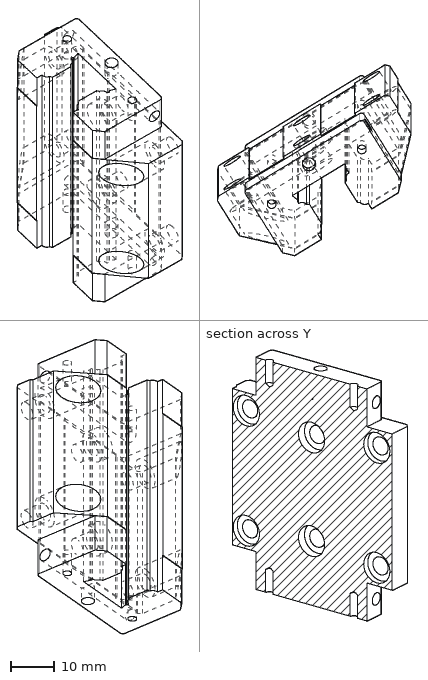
import cadquery as cq
import math


total_length = 58.2
block_length = 39.2
block_width = 47.0
block_height = 19.9

block_edge_chamfer = 0.8
foot_half_width = 14.15
flank_step_depth = 0.45
flank_step_height = 14.95
back_groove_inner = 5.05
back_groove_outer = 14.45
back_groove_depth = 0.4

cap_width = 32.35
cap_front = 0.1
cap_back = 19.25
cap_edge_radius = 0.8

slot_ceiling = 12.45
slot_ceiling_half_width = 7.15
slot_mouth_half_width = 6.85
slot_waist_half_width = 4.85
lip_half_width = 6.65
lip_height = 10.95
track_middle = 5.9
track_half_height = 4.25
bead_inner_half_width = 5.4
bead_half_height = 3.1
bead_bulge = 0.35
waist_half_height = 2.75

bolt_diameter = 4.4
counterbore_diameter = 7.45
flange_bolt_x = 19.0
flange_bolt_z = 15.0
flange_seat = 14.7
center_bolt_z = 13.0
center_seat = 15.5

lube_diameter = 3.0
lube_y = 16.75
lube_z = 24.6
screw_diameter = 2.05
screw_x = 12.3
screw_y = 13.25
screw_depth = 5.8
drill_tip_angle = 118.0

half_length = total_length / 2
half_width = block_width / 2


def extrude_centered(profile, length):
    """Extrude a closed XY profile symmetrically about Z = 0."""
    return profile.extrude(length / 2, both=True)


def cylinder_along(start, direction, diameter, length):
    """Cylinder that begins at a point and runs along a direction."""
    solid = cq.Solid.makeCylinder(diameter / 2, length, cq.Vector(*start), cq.Vector(*direction))
    return cq.Workplane(solid)


def make_block():
    flank_left = half_width - flank_step_depth
    outline = (
        cq.Workplane("XY")
        .moveTo(-foot_half_width, 0)
        .lineTo(foot_half_width, 0)
        .lineTo(half_width, half_width - foot_half_width)
        .lineTo(half_width, block_height - block_edge_chamfer)
        .lineTo(half_width - block_edge_chamfer, block_height)
        .lineTo(-half_width + block_edge_chamfer, block_height)
        .lineTo(-half_width, block_height - block_edge_chamfer)
        .lineTo(-half_width, flank_step_height + flank_step_depth)
        .lineTo(-flank_left, flank_step_height)
        .lineTo(-flank_left, flank_left - foot_half_width)
        .close()
    )
    return extrude_centered(outline, block_length)


def make_back_grooves():
    groove_middle = (back_groove_inner + back_groove_outer) / 2
    grooves = (
        cq.Workplane("XY")
        .pushPoints([(-groove_middle, block_height), (groove_middle, block_height)])
        .rect(back_groove_outer - back_groove_inner, 2 * back_groove_depth)
    )
    return extrude_centered(grooves, block_length)


def make_caps():
    """One full-length bar; its two ends stand out of the block as the end caps."""
    cap_half = cap_width / 2
    flank_rise = cap_half - foot_half_width
    outline = (
        cq.Workplane("XY")
        .moveTo(-foot_half_width, cap_front)
        .lineTo(foot_half_width, cap_front)
        .lineTo(cap_half, cap_front + flank_rise)
        .lineTo(cap_half, cap_back)
        .lineTo(-cap_half, cap_back)
        .lineTo(-cap_half, cap_front + flank_rise)
        .close()
    )
    bar = extrude_centered(outline, total_length)
    return bar.faces(">Y").edges("|Z").fillet(cap_edge_radius)


def make_rail_slot():
    """Slot with beads that follow the ball tracks of the rail."""
    track_low = track_middle - track_half_height
    track_high = track_middle + track_half_height
    bead_run = slot_mouth_half_width - bead_inner_half_width
    bead_rise = track_half_height - bead_half_height
    bead_chord = math.hypot(bead_run, bead_rise)
    chord_mid_x = (slot_mouth_half_width + bead_inner_half_width) / 2
    chord_mid_offset = (track_half_height + bead_half_height) / 2
    bead_mid_x = chord_mid_x - bead_bulge * bead_rise / bead_chord
    bead_mid_offset = chord_mid_offset + bead_bulge * bead_run / bead_chord
    lip_step = slot_mouth_half_width - lip_half_width
    half_slot = (
        cq.Workplane("XY")
        .moveTo(0, 0)
        .lineTo(slot_mouth_half_width, 0)
        .lineTo(slot_mouth_half_width, track_low)
        .threePointArc(
            (bead_mid_x, track_middle - bead_mid_offset),
            (bead_inner_half_width, track_middle - bead_half_height),
        )
        .lineTo(slot_waist_half_width, track_middle - waist_half_height)
        .lineTo(slot_waist_half_width, track_middle + waist_half_height)
        .lineTo(bead_inner_half_width, track_middle + bead_half_height)
        .threePointArc(
            (bead_mid_x, track_middle + bead_mid_offset),
            (slot_mouth_half_width, track_high),
        )
        .lineTo(slot_mouth_half_width, lip_height - lip_step)
        .lineTo(lip_half_width, lip_height)
        .lineTo(slot_ceiling_half_width, slot_ceiling)
        .lineTo(0, slot_ceiling)
        .close()
    )
    half = extrude_centered(half_slot, total_length)
    return half.union(half.mirror("YZ"))


def make_mounting_holes():
    """Through holes with counterbores whose seats lie at a given Y."""
    seats = [(0, z, center_seat) for z in (-center_bolt_z, center_bolt_z)]
    for x in (-flange_bolt_x, flange_bolt_x):
        seats += [(x, z, flange_seat) for z in (-flange_bolt_z, flange_bolt_z)]
    backward = (0, 1, 0)
    holes = cq.Workplane("XY")
    for x, z, seat in seats:
        holes = holes.union(cylinder_along((x, 0, z), backward, bolt_diameter, block_height))
        holes = holes.union(cylinder_along((x, 0, z), backward, counterbore_diameter, seat))
    return holes


def make_cap_holes():
    """Lubrication cross bores, and the inlet and screw holes in each end face."""
    holes = cq.Workplane("XY")
    tip_length = screw_diameter / 2 / math.tan(math.radians(drill_tip_angle / 2))
    for side in (-1, 1):
        inward = (0, 0, -side)
        end_z = side * half_length
        cross_start = (-cap_width / 2, lube_y, side * lube_z)
        holes = holes.union(cylinder_along(cross_start, (1, 0, 0), lube_diameter, cap_width))
        inlet_depth = half_length - lube_z
        holes = holes.union(cylinder_along((0, lube_y, end_z), inward, lube_diameter, inlet_depth))
        for x in (-screw_x, screw_x):
            holes = holes.union(cylinder_along((x, screw_y, end_z), inward, screw_diameter, screw_depth))
            tip_start = cq.Vector(x, screw_y, end_z - side * screw_depth)
            tip = cq.Solid.makeCone(screw_diameter / 2, 0, tip_length, tip_start, cq.Vector(*inward))
            holes = holes.union(cq.Workplane(tip))
    return holes


result = (
    make_block()
    .cut(make_back_grooves())
    .union(make_caps())
    .cut(make_rail_slot())
    .cut(make_mounting_holes())
    .cut(make_cap_holes())
)